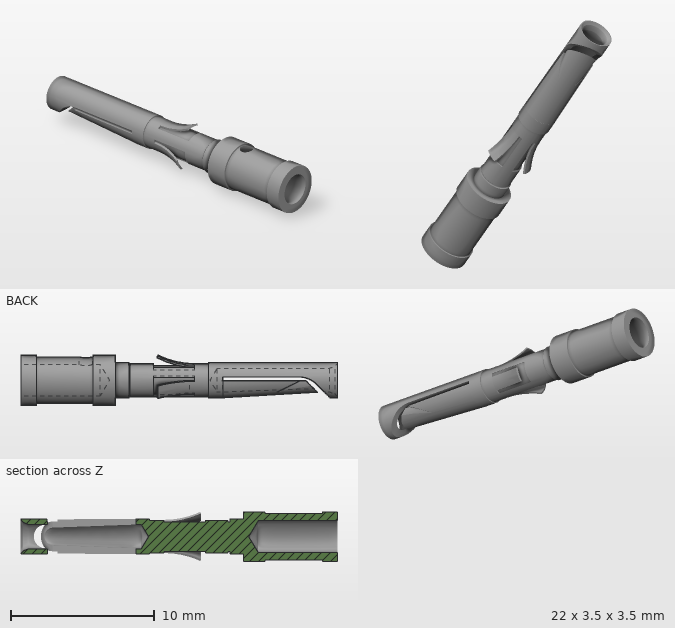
import cadquery as cq
import math

total_length = 22.0

sleeve_end, sleeve_radius = 8.95, 1.23
clip_end, clip_radius = 14.4, 2.3 / 2
groove_end, core_radius = 14.5, 1.03
collar_end, collar_radius = 15.45, 1.23
flange_end, flange_radius = 16.98, 3.5 / 2
barrel_end, barrel_radius = 20.92, 1.63
rim_radius = flange_radius

socket_radius = 1.65 / 2
socket_depth = 8.35
mouth_radius = 1.17
lead_in_radius = 0.97
mouth_depth = 0.18
lead_in_depth = 0.55
drill_half_angle = 59.0

wire_radius = 1.1
wire_bore_start = 16.5
inspection_radius = 0.46
inspection_x = 17.5

opening_end = 7.96
opening_top = 0.22
opening_bottom_x = 0.5
opening_arc_radius = 1.78
tongue_top = -0.02
tongue_tip_x = 2.22
tongue_tilt = 3.4
tongue_clearance = 0.007
tongue_radius = sleeve_radius - tongue_clearance
tongue_root_overlap = 0.07
tongue_inner_tip_radius = 0.53
relief_radius = 1.03
relief_top_x = 2.5
relief_bottom_x = 4.22
relief_bottom_z = -0.84

lance_count = 3
window_start, window_end = 9.95, 12.8
window_width = 1.47
lance_width = 1.01
lance_thickness = 0.13
lance_tip_x = 12.47
lance_tip_radius = flange_radius

cut_reach = 2.2
cut_overshoot = 0.22
floor_z = -sleeve_radius - cut_overshoot


def revolve_about_x(profile):
    """Turn a closed profile, drawn in the XZ plane, around the X axis."""
    return profile.close().revolve(360, (0, 0, 0), (1, 0, 0))


def stepped_body():
    steps = [
        (sleeve_end, sleeve_radius),
        (clip_end, clip_radius),
        (groove_end, core_radius),
        (collar_end, collar_radius),
        (flange_end, flange_radius),
        (barrel_end, barrel_radius),
        (total_length, rim_radius),
    ]
    profile = cq.Workplane("XZ").moveTo(0, 0)
    start = 0
    for end, radius in steps:
        profile = profile.lineTo(start, radius).lineTo(end, radius)
        start = end
    return revolve_about_x(profile.lineTo(total_length, 0))


def drill_point_length(radius):
    return radius / math.tan(math.radians(drill_half_angle))


def pin_socket():
    profile = (
        cq.Workplane("XZ")
        .moveTo(0, 0)
        .lineTo(0, mouth_radius)
        .lineTo(mouth_depth, lead_in_radius)
        .lineTo(lead_in_depth, socket_radius)
        .lineTo(socket_depth, socket_radius)
        .lineTo(socket_depth + drill_point_length(socket_radius), 0)
    )
    return revolve_about_x(profile)


def wire_bore():
    profile = (
        cq.Workplane("XZ")
        .moveTo(total_length, 0)
        .lineTo(total_length, wire_radius)
        .lineTo(wire_bore_start, wire_radius)
        .lineTo(wire_bore_start - drill_point_length(wire_radius), 0)
    )
    return revolve_about_x(profile)


def inspection_hole():
    """Hole through the upper wall of the barrel only."""
    return cq.Workplane("XY").center(inspection_x, 0).circle(inspection_radius).extrude(rim_radius)


def side_opening():
    """Space below the sleeve roof: a 45 degree edge that runs into the slot through an arc."""
    slope = math.radians(45)
    half_slope = slope / 2
    arc_start_z = opening_top - opening_arc_radius * (1 - math.cos(slope))
    arc_start_x = opening_bottom_x + sleeve_radius + arc_start_z
    arc_end_x = arc_start_x + opening_arc_radius * math.sin(slope)
    arc_middle_x = arc_end_x - opening_arc_radius * math.sin(half_slope)
    arc_middle_z = opening_top - opening_arc_radius * (1 - math.cos(half_slope))
    return (
        cq.Workplane("XZ")
        .moveTo(opening_bottom_x - cut_overshoot, floor_z)
        .lineTo(arc_start_x, arc_start_z)
        .threePointArc((arc_middle_x, arc_middle_z), (arc_end_x, opening_top))
        .lineTo(opening_end, opening_top)
        .lineTo(opening_end, floor_z)
        .close()
        .extrude(cut_reach, both=True)
    )


def contact_tongue():
    """Lower half shell, bent up towards the axis, with an oblique tip and relieved sides."""
    root_x = opening_end + tongue_root_overlap

    bent_rod = (
        cq.Workplane("YZ", origin=(root_x, 0, 0))
        .circle(tongue_radius)
        .extrude(-root_x)
        .rotate((opening_end, 0, 0), (opening_end, 1, 0), tongue_tilt)
    )
    side_outline = (
        cq.Workplane("XZ")
        .moveTo(tongue_tip_x, tongue_top)
        .lineTo(root_x, tongue_top)
        .lineTo(root_x, floor_z)
        .lineTo(tongue_tip_x + floor_z - tongue_top, floor_z)
        .close()
        .extrude(cut_reach, both=True)
    )
    contact_bore = revolve_about_x(
        cq.Workplane("XZ")
        .moveTo(0, 0)
        .lineTo(0, tongue_inner_tip_radius)
        .lineTo(root_x, socket_radius)
        .lineTo(root_x, 0)
    )
    relief_side = (
        cq.Workplane("XZ")
        .moveTo(0, 0)
        .lineTo(relief_top_x, 0)
        .lineTo(relief_bottom_x, relief_bottom_z)
        .lineTo(0, relief_bottom_z)
        .close()
        .extrude(cut_reach, both=True)
    )
    relief_core = cq.Workplane("YZ").circle(relief_radius).extrude(root_x)

    tongue = bent_rod.intersect(side_outline)
    return tongue.cut(contact_bore).cut(relief_side.cut(relief_core))


def around_axis(shape, index):
    return shape.rotate((0, 0, 0), (1, 0, 0), index * 360 / lance_count)


def clip_window():
    """Window cut through the clip wall down to the core."""
    length = window_end - window_start
    block = cq.Workplane("XY").box(length, window_width, cut_reach, centered=(False, True, False))
    core = cq.Workplane("YZ").circle(core_radius).extrude(total_length)
    return block.translate((window_start, 0, 0)).cut(core)


def lance():
    """Strip of the clip wall curving outwards, flush with the neck at its root."""
    rise = lance_tip_radius - clip_radius
    run = lance_tip_x - window_start
    outer_bend = (run**2 + rise**2) / (2 * rise)
    inner_bend = outer_bend + lance_thickness
    bend_center_z = clip_radius + outer_bend
    bend_angle = math.asin(run / outer_bend)

    def bend_point(bend_radius, angle):
        x = window_start + bend_radius * math.sin(angle)
        return (x, bend_center_z - bend_radius * math.cos(angle))

    strip = revolve_about_x(
        cq.Workplane("XZ")
        .moveTo(*bend_point(outer_bend, 0))
        .threePointArc(bend_point(outer_bend, bend_angle / 2), bend_point(outer_bend, bend_angle))
        .lineTo(*bend_point(inner_bend, bend_angle))
        .threePointArc(bend_point(inner_bend, bend_angle / 2), bend_point(inner_bend, 0))
    )
    blank = cq.Workplane("XY").box(total_length, lance_width, cut_reach, centered=(False, True, False))
    return strip.intersect(blank)


result = stepped_body().cut(pin_socket()).cut(wire_bore()).cut(inspection_hole())
result = result.cut(side_opening()).union(contact_tongue())
for position in range(lance_count):
    result = result.cut(around_axis(clip_window(), position))
    result = result.union(around_axis(lance(), position))